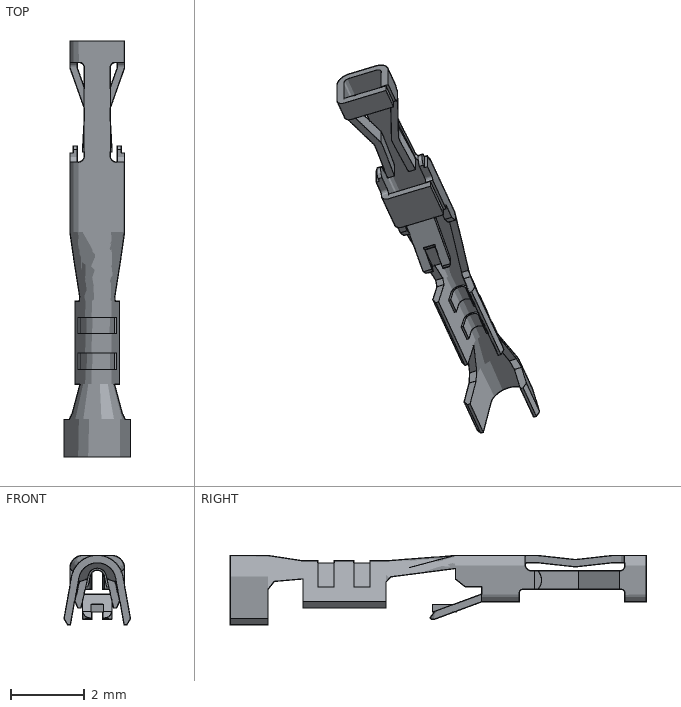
import cadquery as cq
import math

length = 11.34
sheet = 0.2

crimp_length = 1.03
crimp_radius = 0.71
crimp_lean = 10.2
crimp_foot = -1.89
crimp_bevel = 0.17

barrel_start = 1.98
barrel_end = 4.25
barrel_top = -0.15
barrel_radius = 0.45
barrel_lean = 12.6
barrel_foot = -1.44
barrel_bevel = 0.18
foot_flat = 0.08
groove_starts = (2.39, 3.37)
groove_width = 0.44
groove_depth = 0.06
groove_foot = -0.86

body_start = 6.13
body_end = 8.04
cheek_end = 8.29
collar_start = 10.75
stub_start = 10.61
half_width = 0.75
shoulder_radius = 0.36
roof_half = half_width - shoulder_radius
wall_foot = -1.03
floor_top = -1.05
floor_bottom = -1.27
floor_bend_radius = 0.23
floor_edge_inset = 0.07
floor_start = 6.85
floor_end = 7.88
window_top = -0.42
window_bottom = -0.93
body_notch_radius = 0.17
collar_notch_radius = collar_start - stub_start
lower_corner_radius = 0.09

spring_width = 0.71
spring_dip = 0.108
beam_gap = 0.3
beam_end = 8.31
latch_width = 0.8
latch_slope = 20.3

clear_top = 0.11
clear_half_width = 1.13


def side_prism(outline, half=clear_half_width):
    """Extrude a closed YZ sketch equally to both sides of X = 0."""
    return outline.close().extrude(half, both=True)


def side_sketch(y, z):
    return cq.Workplane("YZ").moveTo(y, z)


def slab(width, y_from, y_to, z_from, z_to, x_center=0.0):
    """Axis-aligned block."""
    return cq.Workplane("XY").box(width, y_to - y_from, z_to - z_from).translate(
        (x_center, (y_from + y_to) / 2, (z_from + z_to) / 2)
    )


def xz_plane(y):
    """Sketch plane whose local axes are -X and Z and whose normal is +Y."""
    return cq.Workplane(cq.Plane(origin=(0, y, 0), xDir=(-1, 0, 0), normal=(0, 1, 0)))


def leg_x(top, radius, lean, z):
    """Half width of an arch at height z on its straight leg."""
    angle = math.radians(lean)
    center = top - radius
    return (radius + (center - z) * math.sin(angle)) / math.cos(angle)


def arch_section(y, top, radius, lean, foot, bevel=0.0, thickness=sheet):
    """Closed arch section: an arc on tangent legs, with the outside of the feet bevelled."""
    angle = math.radians(lean)
    center = top - radius
    inner = radius - thickness
    tangent_z = center + radius * math.sin(angle)
    inner_tangent_z = center + inner * math.sin(angle)
    tangent_x = radius * math.cos(angle)
    inner_tangent_x = inner * math.cos(angle)
    inner_foot_x = leg_x(top - thickness, inner, lean, foot)
    bevel_x = leg_x(top, radius, lean, foot + bevel)
    sketch = xz_plane(y).moveTo(-bevel_x, foot + bevel)
    sketch = sketch.lineTo(-tangent_x, tangent_z).threePointArc((0, top), (tangent_x, tangent_z))
    sketch = sketch.lineTo(bevel_x, foot + bevel)
    if bevel > 0:
        sketch = sketch.lineTo(inner_foot_x + foot_flat, foot)
    sketch = sketch.lineTo(inner_foot_x, foot).lineTo(inner_tangent_x, inner_tangent_z)
    sketch = sketch.threePointArc((0, top - thickness), (-inner_tangent_x, inner_tangent_z))
    sketch = sketch.lineTo(-inner_foot_x, foot)
    if bevel > 0:
        sketch = sketch.lineTo(-inner_foot_x - foot_flat, foot)
    return sketch.close()


def shoulder_section(y):
    """Roof and rounded shoulders of the contact box, with the same edges as a bare arch."""
    inner = shoulder_radius - sheet
    diagonal = math.sqrt(0.5)
    mid = roof_half + shoulder_radius * diagonal
    mid_z = -shoulder_radius * (1 - diagonal)
    inner_mid = roof_half + inner * diagonal
    inner_mid_z = -shoulder_radius + inner * diagonal
    base = -shoulder_radius
    sketch = xz_plane(y).moveTo(-half_width, base)
    sketch = sketch.threePointArc((-mid, mid_z), (-roof_half, 0)).lineTo(roof_half, 0)
    sketch = sketch.threePointArc((mid, mid_z), (half_width, base)).lineTo(half_width - sheet, base)
    sketch = sketch.threePointArc((inner_mid, inner_mid_z), (roof_half, -sheet))
    sketch = sketch.lineTo(-roof_half, -sheet)
    sketch = sketch.threePointArc((-inner_mid, inner_mid_z), (sheet - half_width, base))
    return sketch.close()


def loft_sections(first, second):
    return cq.Solid.makeLoft([first.wires().val(), second.wires().val()], True)


def crimp():
    section = arch_section(0, 0, crimp_radius, crimp_lean, crimp_foot, crimp_bevel)
    return section.extrude(crimp_length)


def barrel():
    section = arch_section(
        barrel_start, barrel_top, barrel_radius, barrel_lean, barrel_foot, barrel_bevel
    )
    body = section.extrude(barrel_end - barrel_start)
    for start in groove_starts:
        body = body.cut(groove_skin(start, barrel_top, barrel_radius))
        body = body.union(groove_skin(start, barrel_top - sheet, barrel_radius - sheet))
    return body


def groove_skin(start, top, radius):
    """Thin arch that a groove takes from the outside or adds to the inside."""
    skin = arch_section(start, top, radius, barrel_lean, groove_foot, thickness=groove_depth)
    return skin.extrude(groove_width)


def crimp_neck():
    """Flare from the wire barrel to the insulation crimp, with a cut-back lower edge."""
    edge_barrel = -0.65
    edge_crimp = -0.71
    web_start = 1.2
    web_foot = -0.93
    flare = loft_sections(
        arch_section(crimp_length, 0, crimp_radius, crimp_lean, web_foot),
        arch_section(barrel_start, barrel_top, barrel_radius, barrel_lean, web_foot),
    )
    keep = side_sketch(crimp_length, clear_top).lineTo(barrel_start, clear_top)
    keep = keep.lineTo(barrel_start, edge_barrel).lineTo(web_start, edge_crimp)
    keep = keep.lineTo(crimp_length, web_foot)
    return cq.Workplane(flare).intersect(side_prism(keep))


def body_neck():
    """Transition in which the flat roof becomes the arch of the wire barrel."""
    edge_barrel = -0.59
    web_end = 4.38
    web_foot = -0.73
    flare = loft_sections(
        arch_section(barrel_end, barrel_top, barrel_radius, barrel_lean, web_foot),
        shoulder_section(body_start),
    )
    keep = side_sketch(barrel_end, clear_top).lineTo(body_start, clear_top)
    keep = keep.lineTo(body_start, -shoulder_radius).lineTo(web_end, edge_barrel)
    keep = keep.lineTo(barrel_end, web_foot)
    return cq.Workplane(flare).intersect(side_prism(keep))


def box_tube(y_from, y_to):
    """Folded tube: the floor grows from the +X wall and stops just below the -X wall."""
    size = 2 * half_width
    tube = slab(size, y_from, y_to, floor_bottom, 0)
    tube = tube.edges("|Y and >Z").fillet(shoulder_radius)
    tube = tube.edges("|Y and >X and <Z").fillet(floor_bend_radius)
    bore = slab(size - 2 * sheet, y_from, y_to, floor_top, -sheet)
    bore = bore.edges("|Y and >Z").fillet(shoulder_radius - sheet)
    seam = slab(sheet, y_from, y_to, floor_top, wall_foot, sheet / 2 - half_width)
    inset_x = floor_edge_inset / 2 - half_width
    inset = slab(floor_edge_inset, y_from, y_to, floor_bottom, floor_top, inset_x)
    return tube.cut(bore).cut(seam).cut(inset)


def contact_body():
    """Rear part of the contact box with its side cheeks."""
    rear_edge = -0.86
    rear_wall = -0.65
    rear_corner = 6.41
    outline = side_sketch(body_start, clear_top).lineTo(body_end, clear_top)
    outline = outline.lineTo(body_end, window_top + body_notch_radius)
    outline = outline.radiusArc((body_end + body_notch_radius, window_top), -body_notch_radius)
    outline = outline.lineTo(cheek_end, window_top).lineTo(cheek_end, window_bottom)
    outline = outline.lineTo(floor_end + lower_corner_radius, window_bottom)
    outline = outline.radiusArc((floor_end, window_bottom - lower_corner_radius), -lower_corner_radius)
    outline = outline.lineTo(floor_end, floor_bottom).lineTo(floor_start, floor_bottom)
    outline = outline.lineTo(floor_start, rear_edge).lineTo(rear_corner, rear_edge)
    outline = outline.lineTo(body_start, rear_wall)
    body = box_tube(body_start, cheek_end).intersect(side_prism(outline))
    return body.union(cheek_tips())


def cheek_tips():
    """Thin rounded tips on the front ends of the cheeks."""
    tip_end = 8.48
    tip_shoulder = 8.38
    thickness = 0.11
    inner_x = half_width - sheet
    mid = (window_top + window_bottom) / 2
    outline = side_sketch(cheek_end, window_top).lineTo(tip_shoulder, window_top)
    outline = outline.threePointArc((tip_end, mid), (tip_shoulder, window_bottom))
    tips = side_prism(outline.lineTo(cheek_end, window_bottom), inner_x + thickness)
    return tips.cut(slab(2 * inner_x, cheek_end, tip_end, window_bottom, window_top))


def collar():
    """Closed tip of the contact box with the stubs that carry the side beams."""
    outline = side_sketch(length, clear_top).lineTo(collar_start, clear_top)
    outline = outline.lineTo(collar_start, window_top + collar_notch_radius)
    outline = outline.radiusArc((stub_start, window_top), collar_notch_radius)
    outline = outline.lineTo(stub_start, window_bottom)
    outline = outline.lineTo(collar_start - lower_corner_radius, window_bottom)
    outline = outline.radiusArc((collar_start, window_bottom - lower_corner_radius), lower_corner_radius)
    outline = outline.lineTo(collar_start, floor_bottom).lineTo(length, floor_bottom)
    return box_tube(stub_start, length).intersect(side_prism(outline))


def roof_spring():
    """Roof strip bent into a shallow V between the body and the collar."""
    bend_rear = 8.37
    bend_front = 10.43
    dip_rear = 9.35
    dip_front = 9.46
    top = [
        (body_end, 0),
        (bend_rear, 0),
        (dip_rear, -spring_dip),
        (dip_front, -spring_dip),
        (bend_front, 0),
        (collar_start, 0),
    ]
    bottom = [(y, z - sheet) for y, z in reversed(top)]
    spring = side_prism(cq.Workplane("YZ").polyline(top + bottom), spring_width / 2)
    for side in (1, -1):
        spring = spring.union(root_fillet(body_end, body_notch_radius, side))
        spring = spring.union(root_fillet(collar_start, -collar_notch_radius, side))
    return spring


def root_fillet(y, reach, side):
    """Concave corner joining the edge of the roof spring to the box face at y, curved like the roof."""
    edge = side * spring_width / 2
    outer = edge + side * abs(reach)
    tip = (edge, y + reach)
    bulge = (1 - math.sqrt(0.5)) * abs(reach)
    mid = (edge + side * bulge, y + math.copysign(bulge, reach))
    sketch = cq.Workplane("XY").moveTo(0, y).lineTo(outer, y).threePointArc(mid, tip)
    corner = sketch.lineTo(0, y + reach).close().extrude(-shoulder_radius)
    return corner.intersect(box_tube(min(y, y + reach), max(y, y + reach)))


def side_beams():
    """Two contact beams running from the collar inward to the contact point and flaring out."""
    contact_front = 9.49
    contact_rear = 9.32
    flare = 0.06
    inner = [
        (half_width - sheet, stub_start),
        (beam_gap / 2, contact_front),
        (beam_gap / 2, contact_rear),
        (beam_gap / 2 + flare, beam_end),
    ]
    outer = [(x + sheet, y) for x, y in reversed(inner)]
    beam = cq.Workplane("XY").workplane(offset=window_bottom).polyline(inner + outer)
    beam = beam.close().extrude(window_top - window_bottom)
    return beam.union(beam.mirror("YZ"))


def latch():
    """Forked strip sloping down from the floor, with a level tab between its prongs."""
    prong_end = 5.58
    tip_end = 5.44
    slot_start = 6.1
    slot_width = 0.3
    tab_width = 0.33
    tab_top = -1.34
    tab_end = 5.51
    tab_root = 6.17
    corner_radius = 0.18
    slope = math.tan(math.radians(latch_slope))
    prong_top = floor_top - slope * (floor_start - prong_end)
    tip_bottom = -1.75
    toe_height = 0.05
    bottom_y = floor_start - (floor_bottom - tip_bottom) / slope
    outline = side_sketch(floor_start, floor_top).lineTo(prong_end, prong_top)
    outline = outline.lineTo(tip_end, tip_bottom + toe_height).lineTo(tip_end + toe_height, tip_bottom)
    outline = outline.lineTo(bottom_y, tip_bottom).lineTo(floor_start, floor_bottom)
    strip = side_prism(outline, latch_width / 2)
    plan = slab(latch_width, tip_end, floor_start, tip_bottom, floor_top)
    strip = strip.intersect(plan.edges("|Z and <Y").fillet(corner_radius))
    strip = strip.cut(slab(slot_width, tip_end, slot_start, tip_bottom, floor_top))
    return strip.union(slab(tab_width, tab_end, tab_root, tab_top - sheet, tab_top))


result = crimp()
for piece in (
    crimp_neck(),
    barrel(),
    body_neck(),
    contact_body(),
    latch(),
    roof_spring(),
    collar(),
    side_beams(),
):
    result = result.union(piece)